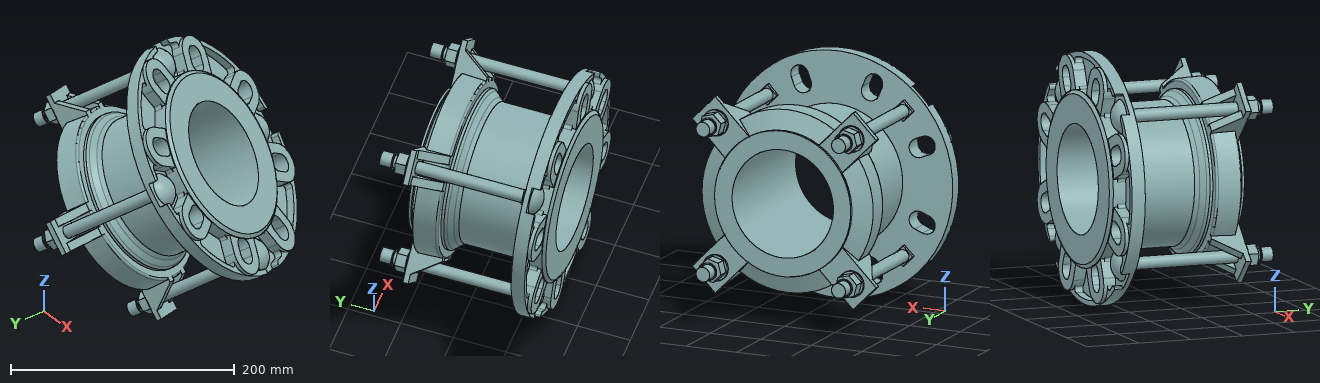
import cadquery as cq
import math


flange_radius = 114.3
bore_radius = 49.95
face_radius = 80.0
face_chamfer = 3.5
face_chamfer_depth = 2.5
eye_face_y = 3.2
rim_face_y = 6.9
pocket_floor_y = 14.6
flange_back_y = 19.7
hub_back_y = 22.0
rim_inner_radius = 109.3
pocket_corner = 3.5

eye_count = 8
eye_center = 95.5
eye_radius = 18.5
eye_root = 68.5
slot_radius = 8.7
slot_inner_center = 87.3

pipe_radius = 65.96
collar_radius = 75.0
collar_rim_radius = 73.2
collar_step_radius = 68.5
collar_start_y = 86.2
collar_step_y = 90.0
collar_rim_y = 94.9
collar_edge_y = 97.5

ring_front_y = 100.1
ring_shoulder_y = 123.5
ring_back_y = 130.0
ring_radius = 84.5
ring_front_radius = 83.7
ring_edge_fillet = 2.0
lug_front_y = 125.5
lug_back_y = 130.8
end_lip_radius = 67.2
end_lip_y = 131.2
end_y = 133.8

lug_count = 4
lug_half_width = 16.2
lug_root = 57.2
lug_reach = 112.5
rib_thickness = 8.0
rib_top_reach = 103.5
rib_foot_reach = 85.3

bolt_offset = 67.0
bolt_circle = bolt_offset * math.sqrt(2)
head_radius = 15.3
head_height = 8.5
head_seat = 1.1
notch_width = 22.9
notch_overrun = 6.9
neck_side = 13.5
neck_end_y = 23.8
rod_diameter = 12.0
washer_diameter = 24.0
washer_end_y = 133.0
nut_corner_diameter = 22.2
nut_end_y = 143.4
clip_diameter = 16.0
clip_y = 146.8
clip_thickness = 1.0
tip_diameter = 13.7
tip_end_y = 159.0


def revolve_profile(points):
    """Solid of revolution about Y from (radius, y) points."""
    return cq.Workplane("XY").polyline(points).close().revolve(360, (0, 0), (0, 1))


def section_plane(y):
    """Workplane at height y: local x is X, extrusion goes to +Y."""
    return cq.Workplane(cq.Plane(origin=(0, y, 0), xDir=(1, 0, 0), normal=(0, 1, 0)))


def disc(y_start, y_end, radius):
    return section_plane(y_start).circle(radius).extrude(y_end - y_start)


def box(x_range, y_range, z_range):
    corner = cq.Vector(x_range[0], y_range[0], z_range[0])
    size = (x_range[1] - x_range[0], y_range[1] - y_range[0], z_range[1] - z_range[0])
    return cq.Workplane("XY").box(*size, centered=False).translate(corner)


def turned(shape, angle):
    return shape.rotate((0, 0, 0), (0, 1, 0), angle)


def around(shape, count, first_angle):
    """Copies of a shape spread evenly about the Y axis, as one compound."""
    step = 360.0 / count
    copies = [turned(shape, first_angle + index * step).val() for index in range(count)]
    return cq.Workplane("XY").newObject([cq.Compound.makeCompound(copies)])


def all_eyes(shape):
    return around(shape, eye_count, 180.0 / eye_count)


def all_bolts(shape):
    return around(shape, lug_count, 180.0 / lug_count)


def make_body():
    """Raised face, flange, pipe, collar, clamp ring and end lip as one turned solid."""
    body = revolve_profile([
        (bore_radius, 0),
        (face_radius - face_chamfer, 0),
        (face_radius, face_chamfer_depth),
        (face_radius, rim_face_y),
        (flange_radius, rim_face_y),
        (flange_radius, flange_back_y),
        (pipe_radius, hub_back_y),
        (pipe_radius, collar_start_y),
        (collar_step_radius, collar_step_y),
        (collar_rim_radius, collar_rim_y),
        (collar_radius, collar_edge_y),
        (collar_radius, ring_front_y),
        (ring_front_radius, ring_front_y),
        (ring_radius, ring_shoulder_y),
        (pipe_radius, ring_back_y),
        (pipe_radius, end_lip_y),
        (end_lip_radius, end_lip_y),
        (end_lip_radius, end_y),
        (bore_radius, end_y),
    ])
    ring_edge = body.edges().filter(
        lambda edge: abs(edge.Center().y - ring_front_y) < 0.02 and edge.radius() > collar_radius + 2.3
    )
    return ring_edge.fillet(ring_edge_fillet)


def make_eye():
    """Round-ended bolt eye along +X."""
    depth = pocket_floor_y - eye_face_y
    end = section_plane(eye_face_y).center(eye_center, 0).circle(eye_radius).extrude(depth)
    y_range = (eye_face_y, pocket_floor_y)
    stem = box((eye_root, eye_center), y_range, (-eye_radius, eye_radius))
    return end.union(stem)


def make_pockets(eyes):
    """Pockets between the eyes, open through the rim in front of each bolt head."""
    pockets = disc(rim_face_y, pocket_floor_y, rim_inner_radius)
    pockets = pockets.union(all_bolts(make_notch()))
    pockets = pockets.cut(disc(rim_face_y, pocket_floor_y, face_radius)).cut(eyes)
    return pockets.edges("|Y").fillet(pocket_corner)


def make_notch():
    half = notch_width / 2
    y_range = (rim_face_y, pocket_floor_y)
    return box((bolt_circle, flange_radius + notch_overrun), y_range, (-half, half))


def make_slot():
    """Radial bolt slot along +X, running slightly under the raised face."""
    length = eye_center - slot_inner_center + 2 * slot_radius
    middle = (eye_center + slot_inner_center) / 2
    slot = section_plane(eye_face_y).center(middle, 0).slot2D(length, 2 * slot_radius)
    return slot.extrude(hub_back_y)


def make_lug():
    """Clamp lug along +X: a plate held by two triangular side ribs."""
    half = lug_half_width
    lug = box((lug_root, lug_reach), (lug_front_y, lug_back_y), (-half, half))
    for rib_z in (-half, half - rib_thickness):
        rib = cq.Workplane("XY").workplane(offset=rib_z).polyline([
            (pipe_radius, ring_front_y),
            (rib_foot_reach, ring_front_y),
            (rib_top_reach, lug_front_y),
            (pipe_radius, lug_front_y),
        ]).close().extrude(rib_thickness)
        lug = lug.union(rib)
    return lug


def make_bolt():
    """Tie bolt at the bolt circle on +X: domed head, square neck, rod, washer, nut and tip."""
    sphere_radius = (head_radius**2 + head_height**2) / (2 * head_height)
    head_top_y = pocket_floor_y - head_height
    half_angle = math.asin(head_radius / sphere_radius) / 2
    dome_middle = (
        sphere_radius * math.sin(half_angle),
        head_top_y + sphere_radius * (1 - math.cos(half_angle)),
    )
    shaft = (
        cq.Workplane("XY")
        .moveTo(0, head_top_y)
        .threePointArc(dome_middle, (head_radius, pocket_floor_y))
        .lineTo(head_radius, pocket_floor_y + head_seat)
        .lineTo(rod_diameter / 2, pocket_floor_y + head_seat)
        .lineTo(rod_diameter / 2, lug_back_y)
        .lineTo(washer_diameter / 2, lug_back_y)
        .lineTo(washer_diameter / 2, washer_end_y)
        .lineTo(rod_diameter / 2, washer_end_y)
        .lineTo(rod_diameter / 2, clip_y)
        .lineTo(clip_diameter / 2, clip_y)
        .lineTo(clip_diameter / 2, clip_y + clip_thickness)
        .lineTo(tip_diameter / 2, clip_y + clip_thickness)
        .lineTo(tip_diameter / 2, tip_end_y)
        .lineTo(0, tip_end_y)
        .close()
        .revolve(360, (0, 0), (0, 1))
    )
    neck = section_plane(pocket_floor_y).rect(neck_side, neck_side)
    nut = section_plane(washer_end_y).polygon(6, nut_corner_diameter)
    bolt = shaft.union(neck.extrude(neck_end_y - pocket_floor_y))
    bolt = bolt.union(nut.extrude(nut_end_y - washer_end_y))
    return bolt.translate((bolt_circle, 0, 0))


eyes = all_eyes(make_eye())
above_pockets = disc(rim_face_y, pocket_floor_y, flange_radius)
result = make_body().cut(make_pockets(eyes))
result = result.union(eyes.cut(above_pockets))
result = result.cut(all_eyes(make_slot()))
result = result.union(all_bolts(make_lug()))
result = result.union(all_bolts(make_bolt()))